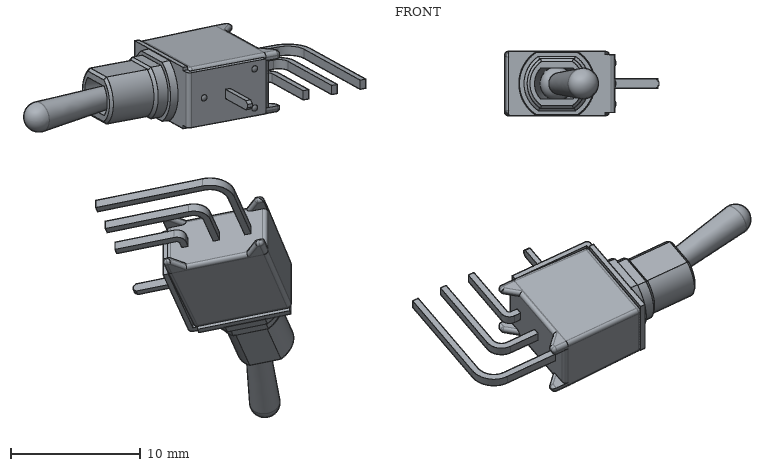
import cadquery as cq
import math


body_half_width = 4.05
body_height = 5.0
body_half_height = body_height / 2
body_back = 7.57
body_draft = 1.0
body_round = 0.32
straight_length = 0.35
draft_start = body_back - straight_length

leg_end = 8.57
leg_thickness = 0.57
leg_tip_width = 0.6
leg_root_depth = 0.8
leg_root = body_back - leg_root_depth
leg_round = 0.27
leg_tip_round = 0.3

plate_thickness = 0.4
front_plate_half_width = 3.73
side_plate_half_height = 2.25
side_plate_end = 6.95
side_plate_face = 4.5
side_plate_middle = side_plate_face - plate_thickness / 2
fold_round = 0.32
dimple_radius = 0.257
dimple_height = 0.08
dimple_places = [(1.43, 0), (5.95, 1.6), (5.95, -1.6)]

tab_end = 7.9
tab_y = 3.55
tab_thickness = 0.43
tab_width = 0.75
tab_chamfer = 0.25

pin_pitch = 2.55
pin_width = 0.51
pin_height = 0.75
pin_end = 7.82
pin_top = 13.95
pin_root_depth = 0.27
pin_bend_radii = [1.97, 1.33, 0.75]

collar_radius = 2.95
collar_half_flat = 2.45
collar_length = 0.65
collar_draft = 5.0
shoulder_radius = 2.55
shoulder_half_flat = 2.1
shoulder_front = -1.79
bushing_radius = 2.3
bushing_half_flat = 1.92
bushing_front = -5.63
bushing_chamfer = 0.22
step_chamfer = shoulder_radius - bushing_radius
bore_mouth_radius = 1.73
bore_half_flat = 1.2

pivot_y = -2.35
pivot_radius = 1.3
lever_tilt = 12.0
lever_root_radius = 0.8
lever_tip_radius = 1.2
lever_end = -13.1
lever_length = (pivot_y - lever_end - lever_tip_radius) / math.cos(math.radians(lever_tilt))


def box_between(x0, x1, y0, y1, half_height):
    """Block between two X and two Y positions, centred on Z = 0."""
    block = cq.Workplane("XY").box(x1 - x0, y1 - y0, 2 * half_height, centered=(False, False, True))
    return block.translate((x0, y0, 0))


def forward_plane(y):
    """Plane facing -Y at the given Y position."""
    return cq.Workplane("XZ", origin=(0, y, 0))


def rounded_block(back):
    """Rounded block, straight behind the draft line and narrowing ahead of it towards the bracket."""
    straight = forward_plane(back).rect(2 * body_half_width, body_height).extrude(back - draft_start)
    straight = straight.edges("|Y or >Y").fillet(body_round)
    drafted = forward_plane(draft_start).rect(2 * body_half_width, body_height)
    drafted = drafted.extrude(draft_start - plate_thickness, taper=body_draft)
    return straight.union(drafted.edges("not >Y").fillet(body_round))


def leg(x_side, z_side):
    """Corner leg with a 45 degree inner slope, rounded along the slope."""
    slope_top = body_half_width - leg_tip_width
    slope_root = slope_top - (leg_end - leg_root)
    outline = [
        (body_half_width, leg_root),
        (body_half_width, leg_end),
        (slope_top, leg_end),
        (slope_root, leg_root),
    ]
    bottom = body_half_height - leg_thickness
    prism = cq.Workplane("XY", origin=(0, 0, bottom)).polyline(outline).close().extrude(leg_thickness)
    tip_corner = (slope_top, leg_end, body_half_height - leg_thickness / 2)
    prism = prism.edges(cq.selectors.NearestToPointSelector(tip_corner)).fillet(leg_tip_round)
    prism = prism.edges("|(1, 1, 0)").fillet(leg_round)
    if x_side < 0:
        prism = prism.mirror("YZ")
    if z_side < 0:
        prism = prism.mirror("XY")
    return prism


def switch_body():
    """Body with a leg at each of its four back corners."""
    body = rounded_block(body_back)
    envelope = rounded_block(leg_end)
    for x_side in (-1, 1):
        for z_side in (-1, 1):
            body = body.union(leg(x_side, z_side).intersect(envelope))
    return body


def bracket():
    """Front plate folded back along the +X side, where it is narrower in height."""
    inner_face = side_plate_face - plate_thickness
    wide_front = box_between(
        -front_plate_half_width, front_plate_half_width, 0, plate_thickness, body_half_height
    )
    narrow_front = box_between(0, side_plate_face, 0, plate_thickness, side_plate_half_height)
    side = box_between(inner_face, side_plate_face, 0, side_plate_end, side_plate_half_height)
    fold = narrow_front.union(side).edges("|Z and >X and <Y").fillet(fold_round)
    return wide_front.union(fold)


def dimple(y, z):
    """Shallow spherical cap on the outside of the side plate."""
    sphere_radius = (dimple_radius**2 + dimple_height**2) / (2 * dimple_height)
    centre_x = side_plate_face + dimple_height - sphere_radius
    sphere = cq.Workplane("XY").sphere(sphere_radius).translate((centre_x, y, z))
    reach = dimple_radius + dimple_height
    keep = box_between(side_plate_middle, tab_end, y - reach, y + reach, reach)
    return sphere.intersect(keep.translate((0, 0, z)))


def mounting_tab():
    """Flat tab standing out from the side plate, with two bevelled corners."""
    front = tab_y - tab_thickness / 2
    back = tab_y + tab_thickness / 2
    tab = box_between(side_plate_middle, tab_end, front, back, tab_width / 2)
    return tab.edges(">X and |Y").chamfer(tab_chamfer)


def terminal(index, bend_radius):
    """Flat pin leaving the back of the body and bent towards +X."""
    left = (index - 1) * pin_pitch - pin_width / 2
    top = pin_top - index * pin_pitch
    upright = box_between(left, left + pin_width, body_back - pin_root_depth, top, pin_height / 2)
    arm = box_between(left, pin_end, top - pin_width, top, pin_height / 2)
    pin = upright.union(arm)
    outer_corner = (left, top, 0)
    pin = pin.edges(cq.selectors.NearestToPointSelector(outer_corner)).fillet(bend_radius)
    inner_corner = (left + pin_width, top - pin_width, 0)
    return pin.edges(cq.selectors.NearestToPointSelector(inner_corner)).fillet(bend_radius - pin_width)


def flatted_round(radius, half_flat, back, front, draft=0):
    """Round section along Y with parallel flats above and below."""
    half_chord = math.sqrt(radius**2 - half_flat**2)
    return (
        forward_plane(back)
        .moveTo(-half_chord, half_flat)
        .lineTo(half_chord, half_flat)
        .threePointArc((radius, 0), (half_chord, -half_flat))
        .lineTo(-half_chord, -half_flat)
        .threePointArc((-radius, 0), (-half_chord, half_flat))
        .close()
        .extrude(back - front, taper=draft)
    )


def bushing():
    """Drafted collar, shoulder and barrel in steps, bored for the lever."""
    collar = flatted_round(collar_radius, collar_half_flat, 0, -collar_length, collar_draft)
    shoulder = flatted_round(shoulder_radius, shoulder_half_flat, 0, shoulder_front)
    shoulder = shoulder.faces("<Y").chamfer(step_chamfer)
    barrel = flatted_round(bushing_radius, bushing_half_flat, 0, bushing_front)
    barrel = barrel.faces("<Y").chamfer(bushing_chamfer)
    return collar.union(shoulder).union(barrel).cut(lever_bore())


def lever_bore():
    """Bore narrowing from its mouth to the pivot, limited by flats above and below."""
    outline = [
        (0, pivot_y),
        (pivot_radius, pivot_y),
        (bore_mouth_radius, bushing_front),
        (0, bushing_front),
    ]
    cone = (
        cq.Workplane("XY")
        .polyline(outline)
        .close()
        .revolve(360, (0, 0, 0), (0, 1, 0))
    )
    slab = box_between(
        -bore_mouth_radius, bore_mouth_radius, bushing_front, pivot_y, bore_half_flat
    )
    return cone.intersect(slab)


def lever():
    """Tapered, round-ended lever on a ball pivot, tilted towards +X."""
    stick = (
        cq.Workplane("XY")
        .lineTo(lever_root_radius, 0)
        .lineTo(lever_tip_radius, -lever_length)
        .radiusArc((0, -lever_length - lever_tip_radius), lever_tip_radius)
        .close()
        .revolve(360, (0, 0, 0), (0, 1, 0))
    )
    ball = cq.Workplane("XY").sphere(pivot_radius)
    tilted = stick.rotate((0, 0, 0), (0, 0, 1), lever_tilt)
    return tilted.union(ball).translate((0, pivot_y, 0))


result = switch_body().union(bracket()).union(mounting_tab())
for dimple_y, dimple_z in dimple_places:
    result = result.union(dimple(dimple_y, dimple_z))
for pin_index, pin_bend_radius in enumerate(pin_bend_radii):
    result = result.union(terminal(pin_index, pin_bend_radius))
result = result.union(bushing()).union(lever())